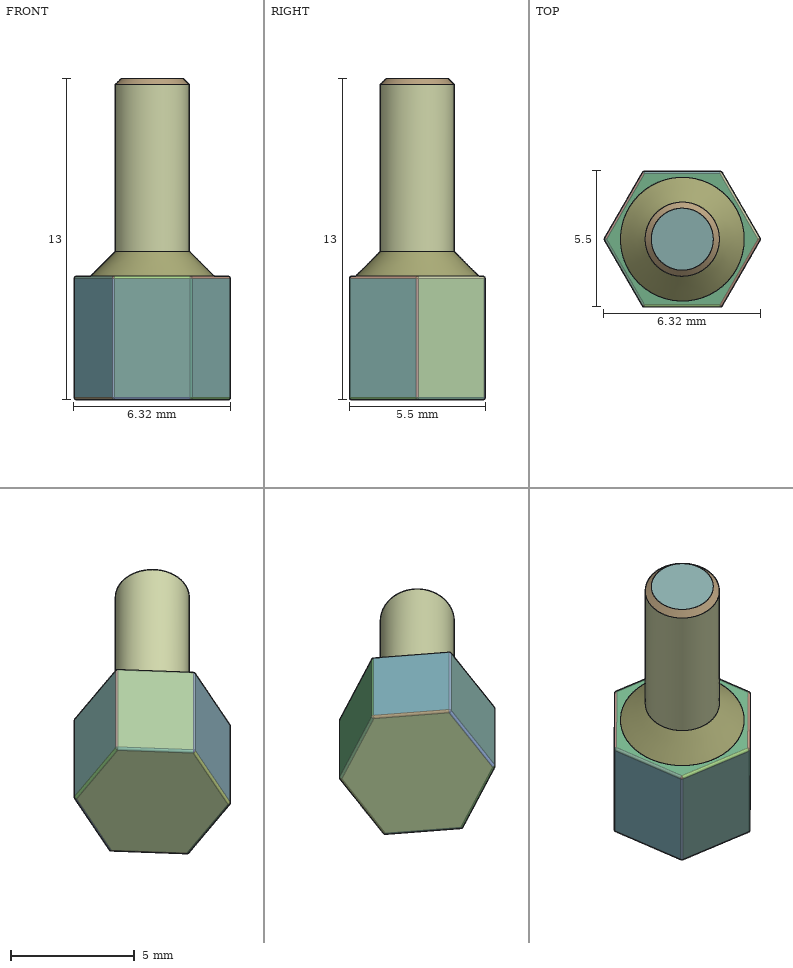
import cadquery as cq
import math

total_height = 13.0
across_flats = 5.5
hex_height = 5.0
edge_radius = 0.1
collar_diameter = 5.0
collar_height = 1.0
stud_diameter = 3.0
tip_chamfer = 0.25

across_corners = across_flats / math.cos(math.pi / 6)
collar_radius = collar_diameter / 2
stud_radius = stud_diameter / 2
collar_top = hex_height + collar_height


def make_hex_body():
    """Hexagonal base with corners on the X axis and every edge rounded."""
    body = cq.Workplane("XY").polygon(6, across_corners).extrude(hex_height)
    return body.edges().fillet(edge_radius)


def make_stud():
    """Conical collar and chamfered round stud, revolved about Z."""
    profile = [
        (0, hex_height),
        (collar_radius, hex_height),
        (stud_radius, collar_top),
        (stud_radius, total_height - tip_chamfer),
        (stud_radius - tip_chamfer, total_height),
        (0, total_height),
    ]
    return cq.Workplane("XZ").polyline(profile).close().revolve(360, (0, 0), (0, 1))


result = make_hex_body().union(make_stud())